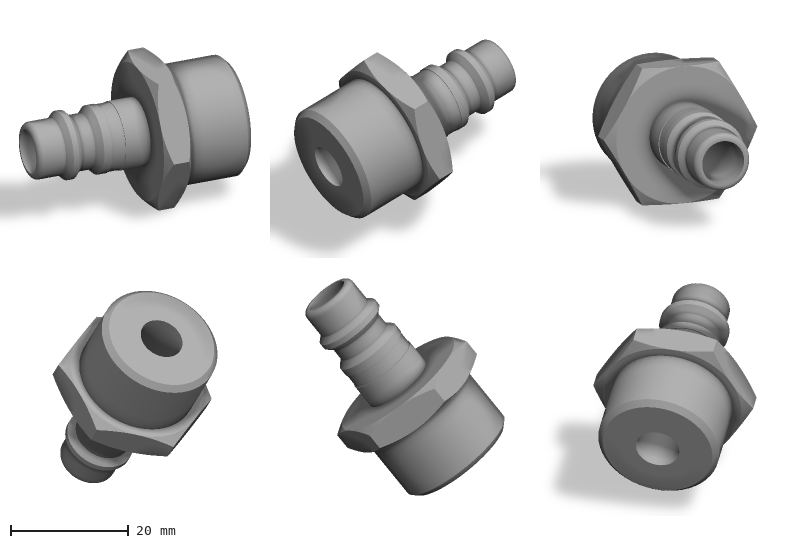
import cadquery as cq
import math

total_length = 37.0
across_flats = 24.0
hex_width = 5.0
hex_chamfer_angle = 30.0

spigot_radius = 10.47
spigot_length = 12.0
spigot_chamfer = 0.95

shank_radius = 6.0
relief_radius = 5.85
groove_radius = 4.9
tip_radius = 5.0
tip_fillet = 1.0
bore_radius = 3.77

tip_length = 4.95
rib_start = 5.95
rib_end = 7.0
groove_start = 8.05
groove_end = 10.4
land_start = 11.55
relief_start = 13.02
relief_end = 15.55

hex_front = total_length - spigot_length - hex_width
hex_back = hex_front + hex_width


def revolve_profile(points):
    """Revolve a closed (radius, distance from tip) profile about the Y axis."""
    return cq.Workplane("XY").polyline(points).close().revolve(360, (0, 0, 0), (0, 1, 0))


def make_plug():
    plug = revolve_profile([
        (0, 0),
        (tip_radius, 0),
        (tip_radius, tip_length),
        (shank_radius, rib_start),
        (shank_radius, rib_end),
        (groove_radius, groove_start),
        (groove_radius, groove_end),
        (shank_radius, land_start),
        (shank_radius, relief_start),
        (relief_radius, relief_start),
        (relief_radius, relief_end),
        (shank_radius, relief_end),
        (shank_radius, hex_back),
        (0, hex_back),
    ])
    return plug.faces("<Y").edges().fillet(tip_fillet)


def make_hexagon():
    """Hexagon with corners on X, both ends turned to a cone touching the flats."""
    flat_radius = across_flats / 2
    corner_radius = flat_radius / math.cos(math.radians(30))
    chamfer_depth = (corner_radius - flat_radius) * math.tan(math.radians(hex_chamfer_angle))
    hexagon = (
        cq.Workplane("XZ", origin=(0, hex_back, 0))
        .polygon(6, 2 * corner_radius)
        .extrude(hex_width)
    )
    turned_envelope = revolve_profile([
        (0, hex_front),
        (flat_radius, hex_front),
        (corner_radius, hex_front + chamfer_depth),
        (corner_radius, hex_back - chamfer_depth),
        (flat_radius, hex_back),
        (0, hex_back),
    ])
    return hexagon.intersect(turned_envelope)


def make_spigot():
    spigot = cq.Workplane("XZ", origin=(0, total_length, 0)).circle(spigot_radius).extrude(spigot_length)
    return spigot.faces(">Y").edges().chamfer(spigot_chamfer)


bore = cq.Workplane("XZ", origin=(0, total_length, 0)).circle(bore_radius).extrude(total_length)

result = (
    make_plug()
    .union(make_hexagon())
    .union(make_spigot())
    .cut(bore)
    .translate((0, -total_length / 2, 0))
)